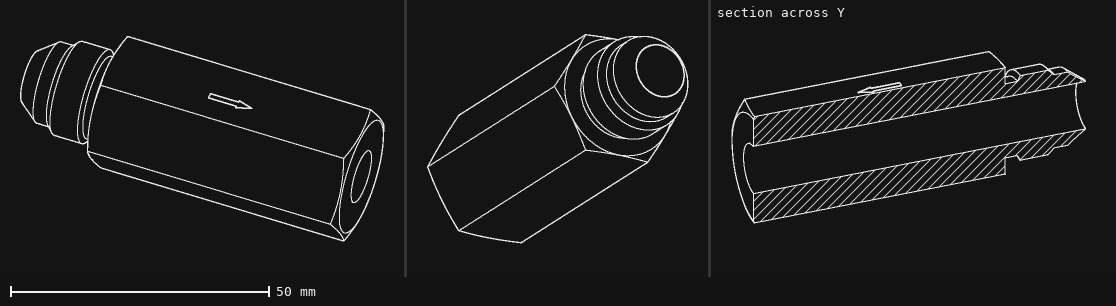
import cadquery as cq
import math

total_length = 69.1
bore_diameter = 10.5

tip_diameter = 10.7
nose_diameter = 16.5
collar_diameter = 19.1
neck_diameter = 16.7
cone_length = 3.8
collar_start = 6.55
collar_end = 14.2
collar_lead_in = (collar_diameter - nose_diameter) / 2
collar_run_out = 0.6

hex_start = 16.7
hex_across_flats = 23.9
hex_across_corners = hex_across_flats / math.cos(math.pi / 6)
hex_front_face_diameter = 23.85
hex_rear_face_diameter = 22.8
hex_chamfer_angle = math.radians(20)

arrow_start = 37.9
arrow_head_start = 43.8
arrow_tip = 46.8
arrow_center_y = -1.45
arrow_shaft_width = 1.2
arrow_head_width = 1.9
arrow_depth = 0.15


def revolve_about_x(profile):
    """Solid of revolution from (x, radius) points, closed along the X axis."""
    first_x = profile[0][0]
    last_x = profile[-1][0]
    outline = [(first_x, 0)] + profile + [(last_x, 0)]
    return cq.Workplane("XY").polyline(outline).close().revolve(360, (0, 0, 0), (1, 0, 0))


def make_male_end():
    return revolve_about_x([
        (0, tip_diameter / 2),
        (cone_length, nose_diameter / 2),
        (collar_start, nose_diameter / 2),
        (collar_start + collar_lead_in, collar_diameter / 2),
        (collar_end - collar_run_out, collar_diameter / 2),
        (collar_end, neck_diameter / 2),
        (hex_start, neck_diameter / 2),
    ])


def make_hex_body():
    """Hexagon with flats facing up and down, its corners turned off at both ends."""
    prism = (
        cq.Workplane("YZ", origin=(hex_start, 0, 0))
        .polygon(6, hex_across_corners)
        .extrude(total_length - hex_start)
    )
    corner_radius = hex_across_corners / 2
    front_radius = hex_front_face_diameter / 2
    rear_radius = hex_rear_face_diameter / 2
    front_chamfer = (corner_radius - front_radius) * math.tan(hex_chamfer_angle)
    rear_chamfer = (corner_radius - rear_radius) * math.tan(hex_chamfer_angle)
    envelope = revolve_about_x([
        (hex_start, front_radius),
        (hex_start + front_chamfer, corner_radius),
        (total_length - rear_chamfer, corner_radius),
        (total_length, rear_radius),
    ])
    return prism.intersect(envelope)


def make_bore():
    return cq.Workplane("YZ").circle(bore_diameter / 2).extrude(total_length)


def make_arrow():
    half_shaft = arrow_shaft_width / 2
    half_head = arrow_head_width / 2
    return (
        cq.Workplane("XY", origin=(0, arrow_center_y, hex_across_flats / 2))
        .polyline([
            (arrow_start, -half_shaft),
            (arrow_head_start, -half_shaft),
            (arrow_head_start, -half_head),
            (arrow_tip, 0),
            (arrow_head_start, half_head),
            (arrow_head_start, half_shaft),
            (arrow_start, half_shaft),
        ])
        .close()
        .extrude(-arrow_depth)
    )


result = make_male_end().union(make_hex_body()).cut(make_bore()).cut(make_arrow())